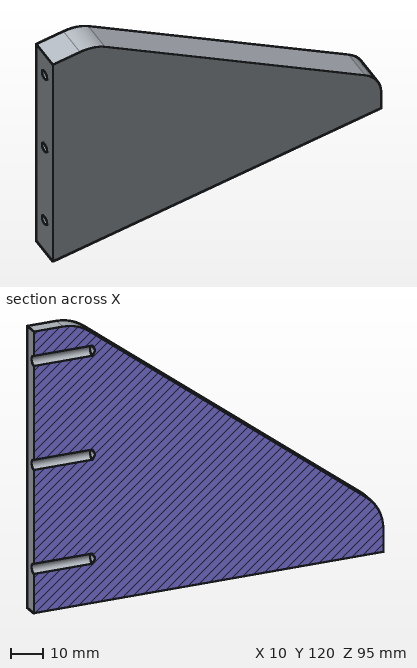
import cadquery as cq
import math

thickness = 10.0
length = 120.0
height = 95.0

corner_land = 15.0
corner_radius = 15.0

hole_diameter = 3.2
hole_depth = 20.0
drill_point_angle = 118.0
lowest_hole_height = 15.0
hole_spacing = 35.0
hole_count = 3

front_y = -length / 2
rear_y = length / 2


def gusset_plate():
    """Triangular plate with both ends of its sloped edge rounded."""
    plate = (
        cq.Workplane("YZ")
        .moveTo(front_y, 0)
        .lineTo(rear_y, 0)
        .lineTo(rear_y, corner_land)
        .lineTo(front_y + corner_land, height)
        .lineTo(front_y, height)
        .close()
        .extrude(thickness / 2, both=True)
    )
    upper_corner = cq.selectors.NearestToPointSelector((0, front_y + corner_land, height))
    lower_corner = cq.selectors.NearestToPointSelector((0, rear_y, corner_land))
    return plate.edges(upper_corner + lower_corner).fillet(corner_radius)


def drilled_hole(center_height):
    """Cylinder with a conical tip, running inward from the front edge."""
    radius = hole_diameter / 2
    tip_length = radius / math.tan(math.radians(drill_point_angle / 2))
    return (
        cq.Workplane("XY")
        .moveTo(0, front_y)
        .lineTo(radius, front_y)
        .lineTo(radius, front_y + hole_depth)
        .lineTo(0, front_y + hole_depth + tip_length)
        .close()
        .revolve(360, (0, 0, 0), (0, 1, 0))
        .translate((0, 0, center_height))
    )


result = gusset_plate()
for index in range(hole_count):
    result = result.cut(drilled_hole(lowest_hole_height + index * hole_spacing))